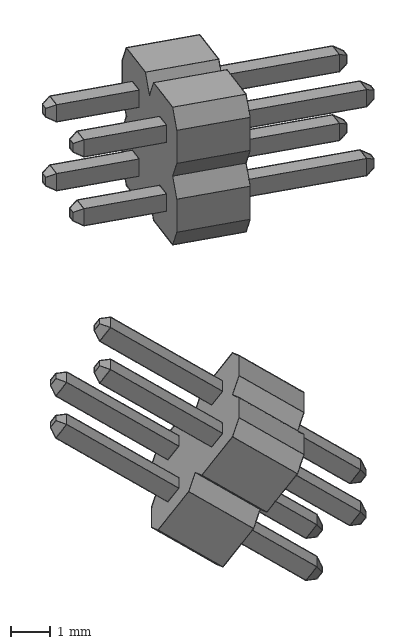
import cadquery as cq
import math

pitch = 2.0
columns = 2
rows = 2
body_depth = 2.0

corner_cut_x = 0.3
corner_cut_z = corner_cut_x * math.tan(math.radians(60))

pin_width = 0.5
front_pin_length = 2.5
back_pin_length = 3.7
tip_length = 0.25
tip_width = 0.25

body_front = -body_depth / 2
body_back = body_depth / 2


def pin_positions():
    """Pin centres in X and Z, as a grid centred on the origin."""
    return [
        ((column - (columns - 1) / 2) * pitch, (row - (rows - 1) / 2) * pitch)
        for column in range(columns)
        for row in range(rows)
    ]


def body_cell(x, z):
    """Eight-sided block around one pin; the cut corners form the notches."""
    half = pitch / 2
    flat_x = half - corner_cut_x
    flat_z = half - corner_cut_z
    outline = [
        (flat_x, half),
        (half, flat_z),
        (half, -flat_z),
        (flat_x, -half),
        (-flat_x, -half),
        (-half, -flat_z),
        (-half, flat_z),
        (-flat_x, half),
    ]
    return (
        cq.Workplane("XZ", origin=(x, body_back, z))
        .polyline(outline)
        .close()
        .extrude(body_depth)
    )


def center_fill():
    """Block between the outer pin centres, filling the gap where the cell corners meet."""
    return cq.Workplane("XY").box((columns - 1) * pitch, body_depth, (rows - 1) * pitch)


def pin_tip(x, y, z, direction):
    """Tapered end starting at y; direction is +1 towards +Y, -1 towards -Y."""
    base = cq.Plane(origin=(x, y, z), xDir=(1, 0, 0), normal=(0, direction, 0))
    return (
        cq.Workplane(base)
        .rect(pin_width, pin_width)
        .workplane(offset=tip_length)
        .rect(tip_width, tip_width)
        .loft()
    )


def pin(x, z):
    """Square pin through the body with a tapered tip at each end."""
    shaft_front = body_front - front_pin_length + tip_length
    shaft_back = body_back + back_pin_length - tip_length
    shaft = (
        cq.Workplane("XZ", origin=(x, shaft_back, z))
        .rect(pin_width, pin_width)
        .extrude(shaft_back - shaft_front)
    )
    front_tip = pin_tip(x, shaft_front, z, -1)
    back_tip = pin_tip(x, shaft_back, z, 1)
    return shaft.union(front_tip).union(back_tip)


result = center_fill()
for pin_x, pin_z in pin_positions():
    result = result.union(body_cell(pin_x, pin_z))
for pin_x, pin_z in pin_positions():
    result = result.union(pin(pin_x, pin_z))
result = result.clean()